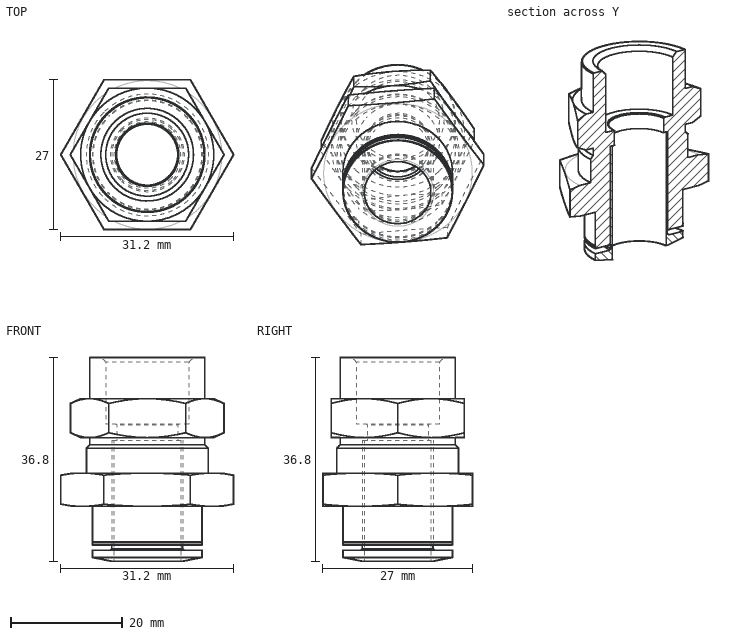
import cadquery as cq
import math

total_height = 36.8
housing_bottom = 2.9
lower_hex_bottom = 9.9
lower_hex_top = 15.9
collar_top = 21.0
upper_hex_bottom = 22.3
upper_hex_top = 29.3

tail_diameter = 19.77
tail_edge_chamfer = 0.1
groove_diameter = 19.74
groove_bottom = 3.35
groove_width = 0.15
collar_diameter = 22.0
neck_diameter = 20.77
spigot_diameter = 20.8
spigot_edge_chamfer = 0.15
collar_chamfer = (collar_diameter - neck_diameter) / 2

lower_hex_flats = 27.0
lower_hex_face_diameter = 26.8
lower_hex_slope = 10.0
upper_hex_flats = 24.0
upper_hex_face_diameter = 24.0
upper_hex_slope = 25.0

top_bore_diameter = 14.95
top_bore_depth = 12.0
top_bore_mouth_diameter = 16.7
top_bore_chamfer = (top_bore_mouth_diameter - top_bore_diameter) / 2
through_diameter = 11.0
through_edge_chamfer = 0.2
web_thickness = 3.0

sleeve_diameter = 12.8
sleeve_bore_diameter = 12.0
flange_diameter = 19.8
flange_top = 2.0
flange_edge_height = 0.66
flange_edge_chamfer = 0.1
flange_face_diameter = 12.9
neck_flare = 0.25

top_bore_floor = total_height - top_bore_depth
sleeve_top = top_bore_floor - web_thickness


def cylinder(diameter, bottom, top):
    """Vertical cylinder on the Z axis."""
    return cq.Workplane("XY").workplane(offset=bottom).circle(diameter / 2).extrude(top - bottom)


def revolve_profile(points):
    """Solid of revolution about Z from (radius, height) points."""
    return cq.Workplane("XZ").polyline(points).close().revolve(360, (0, 0), (0, 1))


def chamfered_hexagon(flats, face_diameter, slope, bottom, top):
    """Hexagon with corners on the X axis and conical chamfers at both ends."""
    corner_radius = flats / math.sqrt(3)
    face_radius = face_diameter / 2
    drop = (corner_radius - face_radius) * math.tan(math.radians(slope))
    prism = cq.Workplane("XY").workplane(offset=bottom).polygon(6, 2 * corner_radius).extrude(top - bottom)
    envelope = revolve_profile([
        (0, bottom),
        (face_radius, bottom),
        (corner_radius, bottom + drop),
        (corner_radius, top - drop),
        (face_radius, top),
        (0, top),
    ])
    return prism.intersect(envelope)


def make_housing():
    """Housing with two hexagons, bored from both ends."""
    tail = cylinder(tail_diameter, housing_bottom, lower_hex_bottom).faces("<Z").chamfer(tail_edge_chamfer)
    collar = cylinder(collar_diameter, lower_hex_top, collar_top).faces(">Z").chamfer(collar_chamfer)
    neck = cylinder(neck_diameter, collar_top, upper_hex_bottom)
    spigot = cylinder(spigot_diameter, upper_hex_top, total_height).faces(">Z").chamfer(spigot_edge_chamfer)
    lower_hex = chamfered_hexagon(
        lower_hex_flats, lower_hex_face_diameter, lower_hex_slope, lower_hex_bottom, lower_hex_top
    )
    upper_hex = chamfered_hexagon(
        upper_hex_flats, upper_hex_face_diameter, upper_hex_slope, upper_hex_bottom, upper_hex_top
    )
    outside = tail.union(lower_hex).union(collar).union(neck).union(upper_hex).union(spigot)

    groove_top = groove_bottom + groove_width
    groove = cylinder(collar_diameter, groove_bottom, groove_top).cut(
        cylinder(groove_diameter, groove_bottom, groove_top)
    )

    bore = revolve_profile([
        (0, housing_bottom),
        (sleeve_diameter / 2, housing_bottom),
        (sleeve_diameter / 2, sleeve_top),
        (through_diameter / 2, sleeve_top),
        (through_diameter / 2, top_bore_floor - through_edge_chamfer),
        (through_diameter / 2 + through_edge_chamfer, top_bore_floor),
        (top_bore_diameter / 2, top_bore_floor),
        (top_bore_diameter / 2, total_height - top_bore_chamfer),
        (top_bore_mouth_diameter / 2, total_height),
        (0, total_height),
    ])
    return outside.cut(groove).cut(bore)


def make_sleeve():
    """Flanged release sleeve seated in the lower bore of the housing."""
    return revolve_profile([
        (sleeve_bore_diameter / 2, 0),
        (flange_face_diameter / 2, 0),
        (flange_diameter / 2 - flange_edge_chamfer, flange_edge_height),
        (flange_diameter / 2, flange_edge_height + flange_edge_chamfer),
        (flange_diameter / 2, flange_top),
        (sleeve_diameter / 2 + neck_flare, flange_top),
        (sleeve_diameter / 2, flange_top + neck_flare),
        (sleeve_diameter / 2, sleeve_top),
        (sleeve_bore_diameter / 2, sleeve_top),
    ])


housing = make_housing()
sleeve = make_sleeve()
result = cq.Compound.makeCompound([housing.solids().val(), sleeve.solids().val()])